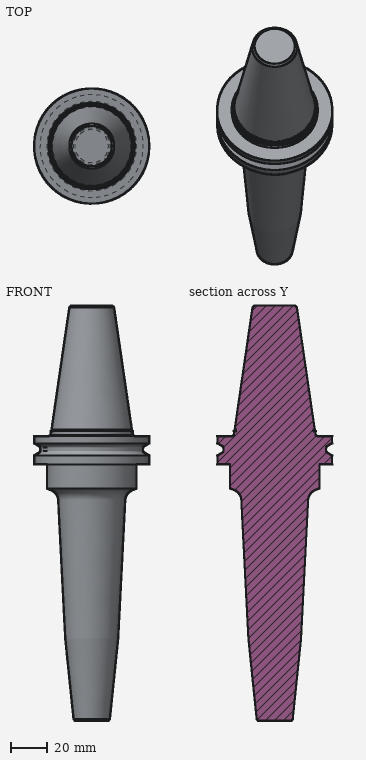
import cadquery as cq
import math

TOLERANCE = 0.002

total_length = 228.5
nose_length = 45.2
neck_top_z = 121.0
flange_top_z = 156.5
flange_thickness = 15.5
flange_bottom_z = flange_top_z - flange_thickness

gauge_radius = 22.2
gauge_height = 3.7
taper_ratio = 7 / 24
shank_end_chamfer = 1.1
seat_radius = 22.5
seat_groove_depth = 0.7
seat_groove_width = 1.0
seat_foot_radius = 23.8
seat_foot_height = 0.7

flange_radius = 31.7
groove_floor_radius = 28.3
groove_floor_width = 2.7
upper_land_width = 3.9
groove_side_angle = 30.0
groove_floor_fillet = 0.7

collar_radius = 24.7
shoulder_angle = 20.0
neck_fillet = 6.2
neck_radius = 18.5
nose_root_radius = 14.6
nose_end_radius = 10.0
nose_chamfer = 1.0

gauge_z = flange_top_z + gauge_height
shank_end_radius = gauge_radius - (total_length - gauge_z) * taper_ratio / 2
seat_top_z = gauge_z - seat_groove_width
groove_side_height = (flange_radius - groove_floor_radius) * math.tan(math.radians(groove_side_angle))
groove_top_z = flange_top_z - upper_land_width
groove_floor_top_z = groove_top_z - groove_side_height
groove_floor_bottom_z = groove_floor_top_z - groove_floor_width
groove_bottom_z = groove_floor_bottom_z - groove_side_height
shoulder_slope = math.radians(shoulder_angle)
neck_fillet_sweep = math.pi / 2 - shoulder_slope


def neck_fillet_point(angle):
    """Point on the fillet, turned by an angle from its lower end on the neck."""
    radius = neck_radius + neck_fillet * (1 - math.cos(angle))
    return radius, neck_top_z + neck_fillet * math.sin(angle)


shoulder_inner_radius, shoulder_inner_z = neck_fillet_point(neck_fillet_sweep)
shoulder_rise = (collar_radius - shoulder_inner_radius) * math.tan(shoulder_slope)
collar_bottom_z = shoulder_inner_z + shoulder_rise

profile = (
    cq.Workplane("XZ")
    .moveTo(0, 0)
    .lineTo(nose_end_radius - nose_chamfer, 0)
    .lineTo(nose_end_radius, nose_chamfer)
    .lineTo(nose_root_radius, nose_length)
    .lineTo(neck_radius, neck_top_z)
    .threePointArc(
        neck_fillet_point(neck_fillet_sweep / 2),
        (shoulder_inner_radius, shoulder_inner_z),
    )
    .lineTo(collar_radius, collar_bottom_z)
    .lineTo(collar_radius, flange_bottom_z)
    .lineTo(flange_radius, flange_bottom_z)
    .lineTo(flange_radius, groove_bottom_z)
    .lineTo(groove_floor_radius, groove_floor_bottom_z)
    .lineTo(groove_floor_radius, groove_floor_top_z)
    .lineTo(flange_radius, groove_top_z)
    .lineTo(flange_radius, flange_top_z)
    .lineTo(seat_foot_radius, flange_top_z)
    .lineTo(seat_radius, flange_top_z + seat_foot_height)
    .lineTo(seat_radius, seat_top_z)
    .lineTo(gauge_radius - seat_groove_depth, seat_top_z)
    .lineTo(gauge_radius - seat_groove_depth, gauge_z)
    .lineTo(gauge_radius, gauge_z)
    .lineTo(shank_end_radius + shank_end_chamfer * taper_ratio / 2, total_length - shank_end_chamfer)
    .lineTo(shank_end_radius - shank_end_chamfer, total_length)
    .lineTo(0, total_length)
    .close()
)

body = profile.revolve(360, (0, 0, 0), (0, 1, 0))


def fillet_rings(solid, radius, heights, fillet):
    """Round the circular edges of one radius at the given heights."""

    def is_wanted(edge):
        if edge.geomType() != "CIRCLE":
            return False
        same_radius = math.isclose(edge.radius(), radius, abs_tol=TOLERANCE)
        height = edge.arcCenter().z
        return same_radius and any(math.isclose(height, z, abs_tol=TOLERANCE) for z in heights)

    return solid.edges().filter(is_wanted).fillet(fillet)


result = fillet_rings(
    body, groove_floor_radius, [groove_floor_bottom_z, groove_floor_top_z], groove_floor_fillet
)